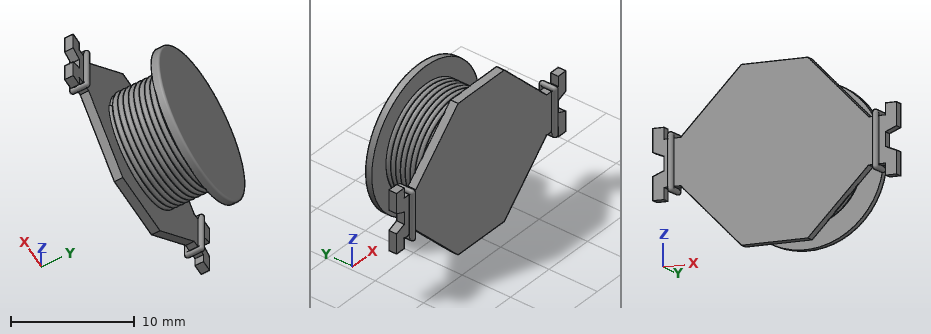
import cadquery as cq
import math

PLATE_THICKNESS = 0.8
PLATE_HALF_HEIGHT = 7.5
PLATE_HALF_TOP_EDGE = 3.0
NECK_HALF_HEIGHT = 2.0
NECK_INNER_X = PLATE_HALF_TOP_EDGE + PLATE_HALF_HEIGHT - NECK_HALF_HEIGHT
NECK_OUTER_X = 10.0
TAB_OUTER_X = 11.0
TAB_HALF_HEIGHT = 3.0
NOTCH_HALF_MOUTH = 1.0
NOTCH_HALF_FLOOR = 0.6

CORE_LENGTH = 4.95
WIRE_TURNS = 10
WIRE_DIAMETER = 0.5
WIRE_CENTER_RADIUS = 5.0
WIRE_START_ANGLE = 90.0
CORE_RADIUS = 5.1
CREST_SINK = 0.03

FLANGE_RADIUS = 7.0
FLANGE_THICKNESS = 0.75
FLANGE_EDGE_ROUND = 0.2

LOOP_CENTER_X = 9.25
LOOP_WIRE_RADIUS = 0.26
LOOP_STANDOFF = 0.5

core_start_y = PLATE_THICKNESS
flange_start_y = core_start_y + CORE_LENGTH


def cylinder(start, end, radius):
    axis = cq.Vector(*end) - cq.Vector(*start)
    return cq.Solid.makeCylinder(radius, axis.Length, cq.Vector(*start), axis)


def make_plate():
    quarter = [
        (PLATE_HALF_TOP_EDGE, PLATE_HALF_HEIGHT),
        (NECK_INNER_X, NECK_HALF_HEIGHT),
        (NECK_OUTER_X, NECK_HALF_HEIGHT),
        (NECK_OUTER_X, TAB_HALF_HEIGHT),
        (TAB_OUTER_X, TAB_HALF_HEIGHT),
        (TAB_OUTER_X, NOTCH_HALF_MOUTH),
        (NECK_OUTER_X, NOTCH_HALF_FLOOR),
    ]
    right_half = quarter + [(x, -z) for x, z in reversed(quarter)]
    left_half = [(-x, -z) for x, z in right_half]
    return cq.Workplane("XZ").polyline(right_half + left_half).close().extrude(-PLATE_THICKNESS)


def make_core():
    return cq.Workplane(cylinder((0, core_start_y, 0), (0, flange_start_y, 0), CORE_RADIUS))


def make_flange():
    flange = cq.Workplane(
        cylinder((0, flange_start_y, 0), (0, flange_start_y + FLANGE_THICKNESS, 0), FLANGE_RADIUS)
    )
    return flange.faces(">Y").edges().fillet(FLANGE_EDGE_ROUND)


def make_winding():
    """Exposed crest of the close-wound round wire, swept along a right-handed helix about Y.

    Both wire ends are buried, one in the plate and one in the flange.
    """
    wire_radius = WIRE_DIAMETER / 2
    root_radius = CORE_RADIUS - CREST_SINK
    root_half_width = math.sqrt(wire_radius**2 - (root_radius - WIRE_CENTER_RADIUS) ** 2)
    axis_start = cq.Vector(0, core_start_y, 0)
    axis = cq.Vector(0, 1, 0)
    helix = cq.Wire.makeHelix(
        WIRE_DIAMETER, WIRE_TURNS * WIRE_DIAMETER, WIRE_CENTER_RADIUS, axis_start, axis
    )
    outward = helix.startPoint() - axis_start
    section_plane = cq.Plane(origin=axis_start, xDir=outward, normal=outward.cross(axis))
    section = (
        cq.Workplane(section_plane)
        .moveTo(root_radius, -root_half_width)
        .threePointArc((WIRE_CENTER_RADIUS + wire_radius, 0), (root_radius, root_half_width))
        .close()
    )
    winding = section.sweep(cq.Workplane(helix), isFrenet=True)
    return winding.rotate((0, 0, 0), (0, 1, 0), WIRE_START_ANGLE)


def make_terminal_loop(center_x):
    half_height = NECK_HALF_HEIGHT + LOOP_STANDOFF - LOOP_WIRE_RADIUS
    front_y = -LOOP_STANDOFF + LOOP_WIRE_RADIUS
    back_y = PLATE_THICKNESS + LOOP_STANDOFF - LOOP_WIRE_RADIUS
    corners = [
        (center_x, front_y, -half_height),
        (center_x, front_y, half_height),
        (center_x, back_y, half_height),
        (center_x, back_y, -half_height),
    ]
    loop = cq.Workplane()
    for corner, next_corner in zip(corners, corners[1:] + corners[:1]):
        loop = loop.union(cq.Workplane(cylinder(corner, next_corner, LOOP_WIRE_RADIUS)))
    for corner in corners:
        loop = loop.union(cq.Workplane().sphere(LOOP_WIRE_RADIUS).translate(corner))
    return loop


result = make_plate().union(make_core().union(make_winding())).union(make_flange())
for side in (-1, 1):
    result = result.union(make_terminal_loop(side * LOOP_CENTER_X))